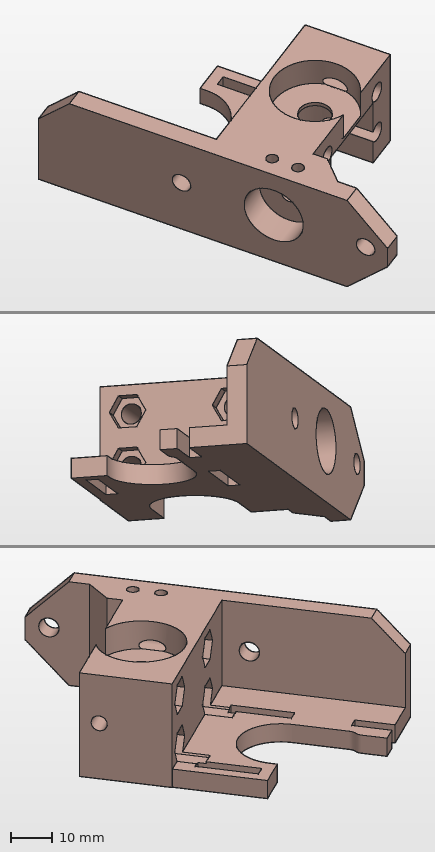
import cadquery as cq
import math

length = 95.0
depth = 51.5
height = 28.0
wall = 5.0
floor = 4.9

block_left = 45.8
block_right = 69.0
wedge_depth = 11.1
wedge_top_x = 72.9
wedge_foot_x = 78.85

left_chamfer = 8.5
right_chamfer = 11.0
plate_hole_z = 15.0
plate_hole_d = 5.0
plate_hole_xs = (38.95, 89.0)
bore_x = 64.0
bore_d = 16.1
bore_depth = 8.0
axle_d = 4.0

mouth_center_x = 24.0
mouth_radius = 10.7
axis_y = 31.4
arm_left = 22.0
arm_back = 51.3
lip_back = 21.9
lip_flat_end = 6.5
lip_foot_x = 9.7
slot_width = 3.0
slot_left = 25.1
slot_right = 40.9
open_slot_length = 10.1
slot_ys = (16.1, 46.9)

pocket_x = 58.9
pocket_d = 22.0
pocket_depth = 7.5
web_thickness = 1.0
shaft_d = 8.4

bolt_ys = (18.4, 44.5)
bolt_zs = (8.5, 21.5)
bolt_d = 5.0
nut_flats = 8.0
nut_start_x = 38.95
nut_depth = 3.0

pin_xs = (61.0, 68.0)
pin_y = wall
pin_d = 3.0


def box(x0, x1, y0, y1, z0, z1):
    return cq.Workplane("XY").box(x1 - x0, y1 - y0, z1 - z0, centered=False).translate((x0, y0, z0))


def cylinder_y(x, z, diameter, y_end):
    """Cylinder from the front face along +Y."""
    return cq.Workplane("XZ").center(x, z).circle(diameter / 2).extrude(-y_end)


def cylinder_down(x, y, diameter, reach):
    """Cylinder from the top face along -Z."""
    return cq.Workplane("XY", origin=(x, y, height)).circle(diameter / 2).extrude(-reach)


def front_plate():
    return (
        cq.Workplane("XZ")
        .polyline([
            (0, 0),
            (length - right_chamfer, 0),
            (length, right_chamfer),
            (length, height - right_chamfer),
            (length - right_chamfer, height),
            (left_chamfer, height),
            (0, height - left_chamfer),
        ])
        .close()
        .extrude(-wall)
    )


def block():
    return (
        cq.Workplane("XY")
        .polyline([
            (block_left, 0),
            (wedge_foot_x, 0),
            (wedge_foot_x, wall),
            (wedge_top_x, wedge_depth),
            (block_right, wedge_depth),
            (block_right, depth),
            (block_left, depth),
        ])
        .close()
        .extrude(height)
    )


def clamp_floor():
    mouth_front = axis_y - mouth_radius
    mouth_back = axis_y + mouth_radius
    lip_middle = ((lip_flat_end + lip_foot_x) / 2, (lip_back + mouth_front) / 2)
    return (
        cq.Workplane("XY")
        .moveTo(0, 0)
        .lineTo(block_left, 0)
        .lineTo(block_left, arm_back)
        .lineTo(arm_left, arm_back)
        .lineTo(arm_left, mouth_back)
        .lineTo(mouth_center_x, mouth_back)
        .threePointArc((mouth_center_x + mouth_radius, axis_y), (mouth_center_x, mouth_front))
        .lineTo(lip_foot_x, mouth_front)
        .tangentArcPoint(lip_middle, relative=False)
        .tangentArcPoint((lip_flat_end, lip_back), relative=False)
        .lineTo(0, lip_back)
        .close()
        .extrude(floor)
    )


def floor_slots():
    half = slot_width / 2
    front_y = slot_ys[0]
    slots = box(0, open_slot_length, front_y - half, front_y + half, 0, floor)
    for y in slot_ys:
        slots = slots.union(box(slot_left, slot_right, y - half, y + half, 0, floor))
    return slots


def bolt_cut(y, z):
    nut_corners = nut_flats / math.cos(math.pi / 6)
    start = cq.Workplane("YZ", origin=(nut_start_x, y, z))
    nut = start.polygon(6, nut_corners).extrude(block_left + nut_depth - nut_start_x)
    return nut.union(start.circle(bolt_d / 2).extrude(block_right - nut_start_x))


def lower_pocket():
    """Pocket in the underside, with straight sides that run out through the +X face."""
    top = height - pocket_depth - web_thickness
    radius = pocket_d / 2
    round_end = cq.Workplane("XY").center(pocket_x, axis_y).circle(radius).extrude(top)
    return round_end.union(box(pocket_x, block_right, axis_y - radius, axis_y + radius, 0, top))


result = front_plate().union(block()).union(clamp_floor()).cut(floor_slots())

for bolt_y in bolt_ys:
    for bolt_z in bolt_zs:
        result = result.cut(bolt_cut(bolt_y, bolt_z))

result = result.cut(cylinder_down(pocket_x, axis_y, pocket_d, pocket_depth))
result = result.cut(cylinder_down(pocket_x, axis_y, shaft_d, height))
result = result.cut(lower_pocket())

for hole_x in plate_hole_xs:
    result = result.cut(cylinder_y(hole_x, plate_hole_z, plate_hole_d, wall))
result = result.cut(cylinder_y(bore_x, plate_hole_z, bore_d, bore_depth))
result = result.cut(cylinder_y(bore_x, plate_hole_z, axle_d, depth))

for pin_x in pin_xs:
    result = result.cut(cylinder_down(pin_x, pin_y, pin_d, height - plate_hole_z))